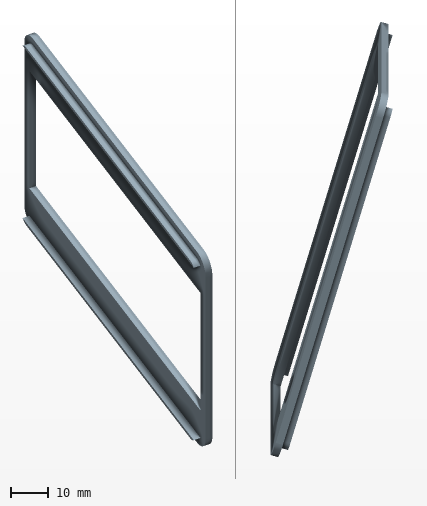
import cadquery as cq

width = 105.0
height = 67.5
plate_thickness = 2.0
corner_radius = 5.0

window_width = 99.1
window_height = 41.6

rib_thickness = 0.9
rib_projection = 2.0
rib_edge_gap = 2.3
rib_end_radius = corner_radius - rib_edge_gap


def centred_block(length, depth, tall):
    """Block centred in X and Z, running from Y = 0 to Y = depth."""
    return cq.Workplane("XY").box(length, depth, tall, centered=(True, False, True))


def make_plate():
    plate = centred_block(width, plate_thickness, height).edges("|Y").fillet(corner_radius)
    window = centred_block(window_width, plate_thickness, window_height)
    return plate.cut(window)


def make_ribs():
    """Top and bottom strips of a block whose rounded corners shape the rib ends."""
    outer_length = width - 2 * rib_edge_gap
    outer_height = height - 2 * rib_edge_gap
    inner_height = outer_height - 2 * rib_thickness
    ribs = centred_block(outer_length, rib_projection, outer_height)
    ribs = ribs.edges("|Y").fillet(rib_end_radius)
    ribs = ribs.cut(centred_block(outer_length, rib_projection, inner_height))
    return ribs.translate((0, -rib_projection, 0))


result = make_plate().union(make_ribs())